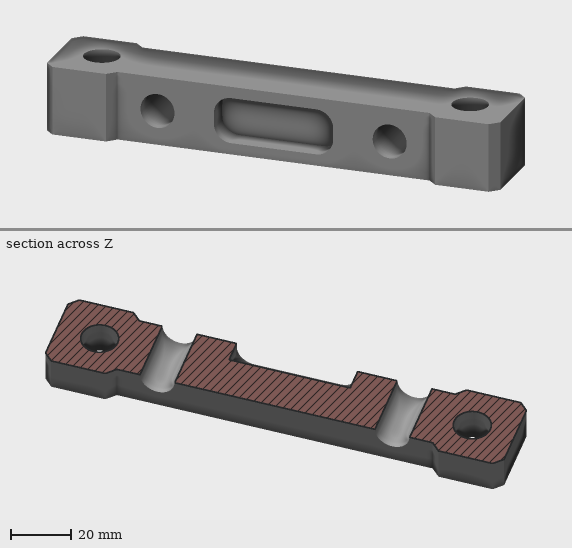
import cadquery as cq

length = 160.0
end_width = 30.0
height = 24.0

middle_width = 24.0
end_length = 25.0
chamfer = (end_width - middle_width) / 2

end_hole_diameter = 12.5
end_hole_spacing = 130.0

cross_hole_diameter = 12.0
cross_hole_spacing = 82.0

pocket_length = 42.0
pocket_height = 16.0
pocket_corner_radius = 6.0
pocket_depth = 8.0


def end_block(side):
    """Chamfered block at one end; side is -1 or +1 along X."""
    half_width = end_width / 2
    half_middle = middle_width / 2
    outer = side * length / 2
    outer_flat = side * (length / 2 - chamfer)
    inner = side * (length / 2 - end_length)
    inner_flat = side * (length / 2 - end_length + chamfer)
    outline = [
        (outer, -half_middle),
        (outer_flat, -half_width),
        (inner_flat, -half_width),
        (inner, -half_middle),
        (inner, half_middle),
        (inner_flat, half_width),
        (outer_flat, half_width),
        (outer, half_middle),
    ]
    return cq.Workplane("XY").workplane(offset=-height / 2).polyline(outline).close().extrude(height)


def hole_pair(plane, spacing, diameter, depth):
    """Two cylinders spaced along X, centred on the plane."""
    places = [(-spacing / 2, 0), (spacing / 2, 0)]
    return cq.Workplane(plane).pushPoints(places).circle(diameter / 2).extrude(depth / 2, both=True)


def pocket():
    """Rounded pocket volume running inward from the front face."""
    return (
        cq.Workplane("XZ", origin=(0, -middle_width / 2, 0))
        .rect(pocket_length, pocket_height)
        .extrude(-pocket_depth)
        .edges("|Y")
        .fillet(pocket_corner_radius)
    )


body = cq.Workplane("XY").box(length - 2 * end_length, middle_width, height)
for end in (-1, 1):
    body = body.union(end_block(end))

body = body.cut(hole_pair("XY", end_hole_spacing, end_hole_diameter, height))
body = body.cut(hole_pair("XZ", cross_hole_spacing, cross_hole_diameter, middle_width))
result = body.cut(pocket())